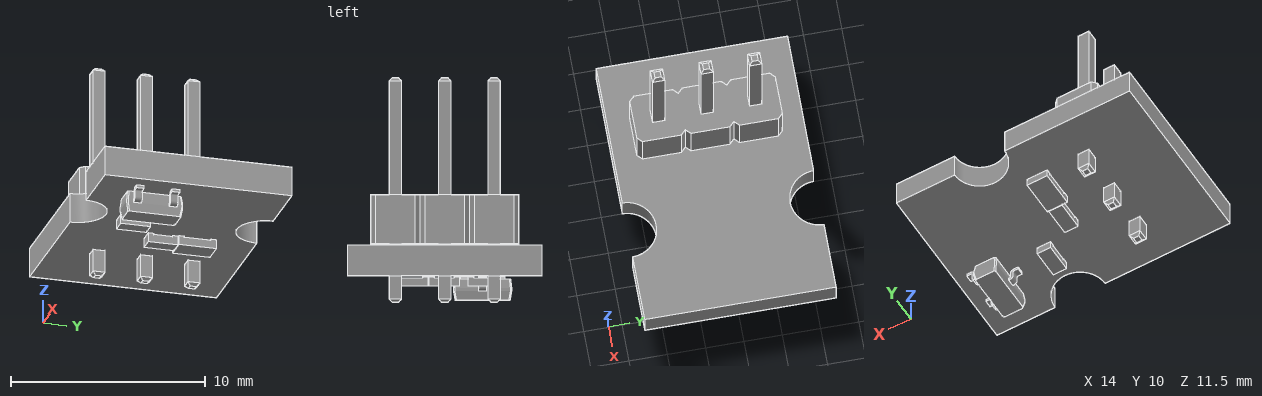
import cadquery as cq
import math

BOARD_LENGTH = 14.0
BOARD_WIDTH = 10.0
BOARD_THICKNESS = 1.6
BOARD_BOTTOM = -BOARD_THICKNESS
NOTCH_RADIUS = 1.5
NOTCH_X = 2.0

SOLDER_GAP = 0.04

PIN_COUNT = 3
PIN_PITCH = 2.53
PIN_WIDTH = 0.65
PIN_TIP_TAPER = PIN_WIDTH / 4
PIN_LENGTH = 11.54
PIN_RISE = 6.0
HEADER_X = -2.94
HOUSING_SIZE = PIN_PITCH
HOUSING_CHAMFER = 0.25
PIN_TOP = SOLDER_GAP + HOUSING_SIZE + PIN_RISE
PIN_BOTTOM = PIN_TOP - PIN_LENGTH
PIN_YS = [(i - (PIN_COUNT - 1) / 2) * PIN_PITCH for i in range(PIN_COUNT)]

CHIP_HEIGHT = 0.49
CAP_STEP = 0.05
CAP_LENGTH = 0.3
LARGE_CHIP_LENGTH = 2.0
LARGE_CHIP_WIDTH = 1.2
LARGE_CHIP_X = -0.15
LARGE_CHIP_Y = 1.85
SMALL_CHIP_LENGTH = 1.6
SMALL_CHIP_WIDTH = 0.8
SMALL_CHIP_PLACES = [(-0.03, 0.03), (1.89, -2.0)]

PACKAGE_X = 5.01
PACKAGE_Y = -1.95
PACKAGE_LENGTH = 3.0
PACKAGE_WIDTH = 1.37
PACKAGE_TOP_INSET = 0.05
PACKAGE_BOTTOM_INSET = 0.08
PACKAGE_CORNER = 0.07
PACKAGE_STANDOFF = 0.11
PACKAGE_FLANK_HEIGHT = 0.48
LEAD_THICKNESS = 0.15
LEAD_WIDTH = 0.4
LEAD_SPAN = 2.5
LEAD_SHANK_SPAN = 1.89
LEAD_INNER_BEND = 0.07
LEAD_OFFSET_Y = 0.95
COMPONENT_PLANE = BOARD_BOTTOM - SOLDER_GAP
WAIST_TOP = COMPONENT_PLANE - PACKAGE_STANDOFF - PACKAGE_FLANK_HEIGHT
WAIST_BOTTOM = WAIST_TOP - LEAD_THICKNESS


def make_board():
    """Plate with a half-round notch in both long edges and a square hole for each pin."""
    plate = (
        cq.Workplane("XY", origin=(0, 0, BOARD_BOTTOM))
        .rect(BOARD_LENGTH, BOARD_WIDTH)
        .extrude(BOARD_THICKNESS)
    )
    notches = (
        cq.Workplane("XY", origin=(0, 0, BOARD_BOTTOM))
        .pushPoints([(NOTCH_X, -BOARD_WIDTH / 2), (NOTCH_X, BOARD_WIDTH / 2)])
        .circle(NOTCH_RADIUS)
        .extrude(BOARD_THICKNESS)
    )
    pin_holes = (
        cq.Workplane("XY", origin=(0, 0, BOARD_BOTTOM))
        .pushPoints([(HEADER_X, y) for y in PIN_YS])
        .rect(PIN_WIDTH, PIN_WIDTH)
        .extrude(BOARD_THICKNESS)
    )
    return plate.cut(notches).cut(pin_holes)


def make_header():
    """Row of chamfered housing blocks joined in one solid with their square pins."""
    header = cq.Workplane("XY")
    for y in PIN_YS:
        block = (
            cq.Workplane("XY", origin=(HEADER_X, y, SOLDER_GAP))
            .rect(HOUSING_SIZE, HOUSING_SIZE)
            .extrude(HOUSING_SIZE)
            .edges("|Z")
            .chamfer(HOUSING_CHAMFER)
        )
        pin = (
            cq.Workplane("XY", origin=(HEADER_X, y, PIN_BOTTOM))
            .rect(PIN_WIDTH, PIN_WIDTH)
            .extrude(PIN_LENGTH)
            .faces("<Z or >Z")
            .chamfer(PIN_TIP_TAPER)
        )
        header = header.union(block).union(pin)
    return header


def make_chip(x, y, length, width):
    """Flat chip whose end caps stand up towards the board and are flush underneath."""
    chip = cq.Workplane("XY").box(width, length, CHIP_HEIGHT)
    relief = cq.Workplane("XY").box(width, length - 2 * CAP_LENGTH, CAP_STEP)
    chip = chip.cut(relief.translate((0, 0, (CHIP_HEIGHT - CAP_STEP) / 2)))
    return chip.translate((x, y, COMPONENT_PLANE - CHIP_HEIGHT / 2))


def chamfered_outline(z, inset):
    """Package outline at height z, moved in from the waist by inset on every side."""
    half_x = PACKAGE_WIDTH / 2 - inset
    half_y = PACKAGE_LENGTH / 2 - inset
    cut_x = half_x - PACKAGE_CORNER
    cut_y = half_y - PACKAGE_CORNER
    points = [
        (half_x, cut_y), (cut_x, half_y), (-cut_x, half_y), (-half_x, cut_y),
        (-half_x, -cut_y), (-cut_x, -half_y), (cut_x, -half_y), (half_x, -cut_y),
    ]
    return cq.Wire.makePolygon([cq.Vector(px, py, z) for px, py in points], close=True)


def make_lead():
    """Lead on the +X side: foot by the board, vertical shank, and tail into the waist."""
    shank_x = LEAD_SHANK_SPAN / 2
    foot_end = LEAD_SPAN / 2
    outer = LEAD_INNER_BEND + LEAD_THICKNESS
    inner = LEAD_INNER_BEND
    diagonal = math.sqrt(0.5)
    top = COMPONENT_PLANE
    foot_under = top - LEAD_THICKNESS
    shank_inside = shank_x - LEAD_THICKNESS
    foot_bend_x = shank_x + inner
    foot_bend_z = foot_under - inner
    tail_bend_x = shank_inside - inner
    tail_bend_z = WAIST_TOP + inner

    def on_bend(x, z, radius, side):
        """Middle of a bend: below and outward of its centre for side 1, the reverse for -1."""
        return (x + side * radius * diagonal, z - side * radius * diagonal)

    return (
        cq.Workplane("XZ")
        .moveTo(foot_end, top)
        .lineTo(foot_bend_x, top)
        .threePointArc(on_bend(foot_bend_x, foot_bend_z, outer, -1), (shank_inside, foot_bend_z))
        .lineTo(shank_inside, tail_bend_z)
        .threePointArc(on_bend(tail_bend_x, tail_bend_z, inner, 1), (tail_bend_x, WAIST_TOP))
        .lineTo(0, WAIST_TOP)
        .lineTo(0, WAIST_BOTTOM)
        .lineTo(tail_bend_x, WAIST_BOTTOM)
        .threePointArc(on_bend(tail_bend_x, tail_bend_z, outer, 1), (shank_x, tail_bend_z))
        .lineTo(shank_x, foot_bend_z)
        .threePointArc(on_bend(foot_bend_x, foot_bend_z, inner, -1), (foot_bend_x, foot_under))
        .lineTo(foot_end, foot_under)
        .close()
        .extrude(LEAD_WIDTH / 2, both=True)
    )


def make_package():
    """Moulded body, tapered above and below its straight waist, with three bent leads."""
    heights_and_insets = [
        (WAIST_TOP + PACKAGE_FLANK_HEIGHT, PACKAGE_TOP_INSET),
        (WAIST_TOP, 0),
        (WAIST_BOTTOM, 0),
        (WAIST_BOTTOM - PACKAGE_FLANK_HEIGHT, PACKAGE_BOTTOM_INSET),
    ]
    outlines = [chamfered_outline(z, inset) for z, inset in heights_and_insets]
    package = cq.Workplane(cq.Solid.makeLoft(outlines, True))
    lead = make_lead()
    package = package.union(lead.rotate((0, 0, 0), (0, 0, 1), 180))
    for side in (-1, 1):
        package = package.union(lead.translate((0, side * LEAD_OFFSET_Y, 0)))
    return package.translate((PACKAGE_X, PACKAGE_Y, 0))


board = make_board()
header = make_header()
large_chip = make_chip(LARGE_CHIP_X, LARGE_CHIP_Y, LARGE_CHIP_LENGTH, LARGE_CHIP_WIDTH)
small_chips = [make_chip(x, y, SMALL_CHIP_LENGTH, SMALL_CHIP_WIDTH) for x, y in SMALL_CHIP_PLACES]
package = make_package()

result = cq.Compound.makeCompound(
    [board.val(), header.val(), large_chip.val(), *[chip.val() for chip in small_chips], package.val()]
)